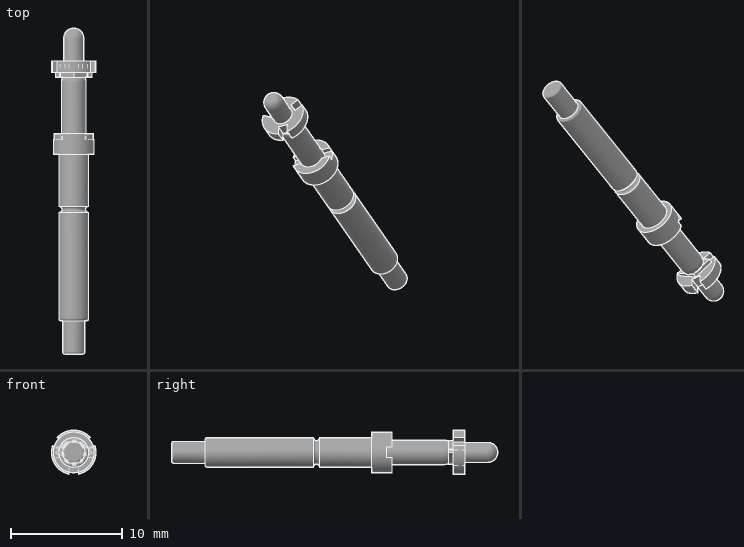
import cadquery as cq


TOTAL_LENGTH = 29.3
TAIL_LENGTH = 3.0
GROOVE_Y = 13.0
COLLAR_START = 17.95
COLLAR_LENGTH = 1.85
NECK_START = 24.88
NECK_LENGTH = 0.4
FLANGE_LENGTH = 1.05

TAIL_DIAMETER = 2.0
SLEEVE_DIAMETER = 2.67
COLLAR_DIAMETER = 3.65
BODY_DIAMETER = 2.23
PLUNGER_DIAMETER = 1.82
FLANGE_DIAMETER = 4.0

END_FILLET = 0.2
SHOULDER_LENGTH = 0.45
SHOULDER_DROP = 0.1
GROOVE_RADIUS = 0.25

SLOT_WIDTH = 0.95
SLOT_DEPTH = 0.53

LOBE_COUNT = 3
NOTCH_WIDTH = 0.85
NOTCH_FLOOR = 1.17
FIRST_NOTCH_ANGLE = -90.0

NECK_WIDTH = 3.3
NECK_HEIGHT = 2.17

COLLAR_END = COLLAR_START + COLLAR_LENGTH
FLANGE_START = NECK_START + NECK_LENGTH
FLANGE_END = FLANGE_START + FLANGE_LENGTH


def rod(diameter, start, end):
    """Cylinder on the Y axis between two positions."""
    return cq.Workplane("XZ", origin=(0, start, 0)).circle(diameter / 2).extrude(start - end)


def make_tail():
    return rod(TAIL_DIAMETER, 0, TAIL_LENGTH).faces("<Y").edges().fillet(END_FILLET)


def make_sleeve():
    sleeve = rod(SLEEVE_DIAMETER, TAIL_LENGTH, COLLAR_START)
    sleeve = sleeve.faces("<Y").edges().fillet(END_FILLET)
    ring = cq.Solid.makeTorus(
        SLEEVE_DIAMETER / 2,
        GROOVE_RADIUS,
        cq.Vector(0, GROOVE_Y, 0),
        cq.Vector(0, 1, 0),
    )
    return sleeve.cut(cq.Workplane("XY").add(ring))


def make_collar():
    collar = rod(COLLAR_DIAMETER, COLLAR_START, COLLAR_END)
    slot = cq.Workplane("XY").box(COLLAR_DIAMETER, 2 * SLOT_DEPTH, SLOT_WIDTH)
    return collar.cut(slot.translate((0, COLLAR_END, 0)))


def make_body():
    """Plain rod whose front end curves in slightly along a tangent arc."""
    radius = BODY_DIAMETER / 2
    shoulder_start = NECK_START - SHOULDER_LENGTH
    return (
        cq.Workplane("XY")
        .moveTo(0, COLLAR_START)
        .lineTo(radius, COLLAR_START)
        .lineTo(radius, shoulder_start)
        .tangentArcPoint((radius - SHOULDER_DROP, NECK_START), relative=False)
        .lineTo(0, NECK_START)
        .close()
        .revolve(360, (0, 0, 0), (0, 1, 0))
    )


def make_neck():
    corners = [
        (NECK_WIDTH / 2, 0),
        (0, NECK_HEIGHT / 2),
        (-NECK_WIDTH / 2, 0),
        (0, -NECK_HEIGHT / 2),
    ]
    face = cq.Workplane("XZ", origin=(0, NECK_START, 0))
    return face.polyline(corners).close().extrude(-NECK_LENGTH)


def make_head():
    """Flange and neck, with the notches running through both."""
    head = rod(FLANGE_DIAMETER, FLANGE_START, FLANGE_END).union(make_neck())
    notch = (
        cq.Workplane("XY")
        .box(
            FLANGE_DIAMETER / 2,
            NECK_LENGTH + FLANGE_LENGTH,
            NOTCH_WIDTH,
            centered=(False, False, True),
        )
        .translate((NOTCH_FLOOR, NECK_START, 0))
    )
    for i in range(LOBE_COUNT):
        angle = FIRST_NOTCH_ANGLE + i * 360 / LOBE_COUNT
        head = head.cut(notch.rotate((0, 0, 0), (0, 1, 0), -angle))
    return head


def make_plunger():
    dome_radius = PLUNGER_DIAMETER / 2
    dome_y = TOTAL_LENGTH - dome_radius
    shaft = rod(PLUNGER_DIAMETER, FLANGE_END, dome_y)
    dome = cq.Workplane("XY").sphere(dome_radius).translate((0, dome_y, 0))
    return shaft.union(dome)


result = (
    make_tail()
    .union(make_sleeve())
    .union(make_collar())
    .union(make_body())
    .union(make_head())
    .union(make_plunger())
)